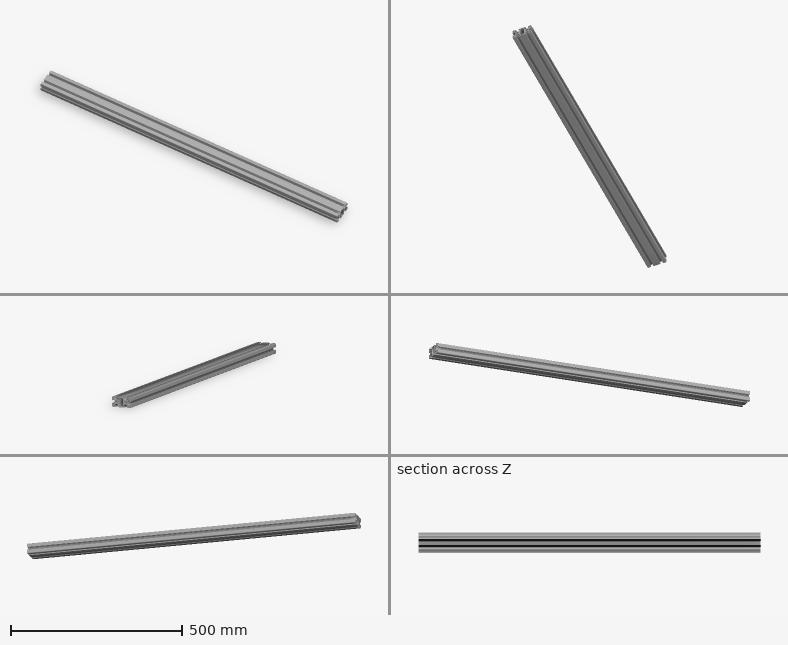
import cadquery as cq
import math

length = 1000.0
cell = 30.0
half_cell = cell / 2
cell_centers = (-half_cell, half_cell)
corner_radius = 2.0

slot_opening = 8.1
lip_thickness = 2.2
lip_radius = 0.4
slot_width = 16.5
slot_wall_height = 2.1
slot_depth = 9.2
slot_floor_width = 6.9

core_hole_diameter = 8.6

cavity_width = 13.5
cavity_roof_width = 9.5
cavity_roof_thickness = 2.0
cavity_corner_height = 7.0

corner_hollow = 4.0
corner_hollow_wall = 1.4


def profile_plane():
    """End plane at the -X end; local x runs along Y and local y along Z."""
    return cq.Workplane("YZ", origin=(-length / 2, 0, 0))


def mirrored(points):
    """The same points on the other side of the Z axis, in reverse order."""
    return [(-y, z) for y, z in reversed(points)]


def blank():
    """Solid bar with rounded long edges."""
    return profile_plane().rect(2 * cell, cell).extrude(length).edges("|X").fillet(corner_radius)


def t_slot():
    """Cutter for an upward-opening slot, centered on the X axis, with rounded lip edges."""
    half_opening = slot_opening / 2
    under_lip = half_cell - lip_thickness
    arc_inset = lip_radius * (1 - math.sqrt(0.5))
    lip_top = (half_opening + lip_radius, half_cell)
    lip_middle = (half_opening + arc_inset, half_cell - arc_inset)
    lip_side = (half_opening, half_cell - lip_radius)
    right_side = [
        (half_opening, under_lip),
        (slot_width / 2, under_lip),
        (slot_width / 2, under_lip - slot_wall_height),
        (slot_floor_width / 2, half_cell - slot_depth),
    ]
    outline = profile_plane().moveTo(*lip_top).threePointArc(lip_middle, lip_side)
    for point in right_side + mirrored(right_side) + mirrored([lip_side]):
        outline = outline.lineTo(*point)
    outline = outline.threePointArc(*mirrored([lip_top, lip_middle]))
    return outline.close().extrude(length)


def all_slots():
    """Cutters for the top, bottom and outward slots of both cells."""
    slots = []
    for center_y in cell_centers:
        outward_angle = 90 if center_y < 0 else -90
        for angle in (0, 180, outward_angle):
            slots.append(t_slot().rotate((0, 0, 0), (1, 0, 0), angle).translate((0, center_y, 0)))
    return slots


def core_holes():
    """Cutter for the hole through the core of each cell."""
    centers = [(y, 0) for y in cell_centers]
    return profile_plane().pushPoints(centers).circle(core_hole_diameter / 2).extrude(length)


def central_cavity():
    """Cutter for the eight-sided cavity between the cells."""
    roof = half_cell - cavity_roof_thickness
    shoulder = roof - cavity_corner_height
    right_side = [
        (cavity_roof_width / 2, roof),
        (cavity_width / 2, shoulder),
        (cavity_width / 2, -shoulder),
        (cavity_roof_width / 2, -roof),
    ]
    return profile_plane().polyline(right_side + mirrored(right_side)).close().extrude(length)


def corner_hollows():
    """Cutter for the square hollows in the four outer corners."""
    inset = corner_hollow_wall + corner_hollow / 2
    y_spacing = 2 * (cell - inset)
    z_spacing = cell - 2 * inset
    centers = profile_plane().rarray(y_spacing, z_spacing, 2, 2)
    return centers.rect(corner_hollow, corner_hollow).extrude(length)


result = blank().cut(core_holes()).cut(central_cavity()).cut(corner_hollows())
for slot in all_slots():
    result = result.cut(slot)